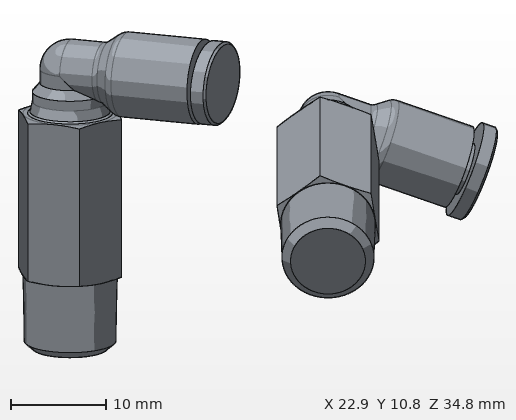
import cadquery as cq
import math

overall_height = 34.8
overall_length = 22.85

hex_across_flats = 10.0
hex_bottom = 8.0
hex_top = 25.55
hex_corner_radius = hex_across_flats / math.sqrt(3)
hex_chamfer_radius = 4.95
hex_chamfer_angle = 15.0

thread_top_radius = 4.98
thread_bottom_radius = 4.85
thread_chamfer_height = 0.8
thread_end_radius = 3.93

lip_radius = 4.45
lip_height = 0.17
flare_radius = 4.2
flare_top = 26.83
collar_radius = 3.95
collar_top = 27.87
cone_top = 28.8

elbow_radius = 3.15
socket_radius = 4.5
socket_axis_height = overall_height - socket_radius
cone_start = 3.95
cone_end = 5.8
cone_angle = math.atan2(socket_radius - elbow_radius, cone_end - cone_start)
root_blend = 0.35
shoulder_blend = 0.42
socket_end = 14.72

neck_radius = 2.82
release_start = 15.45
release_end = overall_length - hex_corner_radius
release_half_width = 5.4
release_half_height = 4.35
release_edge_chamfer = 0.25


def make_hexagon():
    height = hex_top - hex_bottom
    prism = (
        cq.Workplane("XY", origin=(0, 0, hex_bottom))
        .polygon(6, 2 * hex_corner_radius)
        .extrude(height)
    )
    chamfer_drop = (hex_corner_radius - hex_chamfer_radius) * math.tan(math.radians(hex_chamfer_angle))
    envelope = (
        cq.Workplane("XZ")
        .moveTo(0, hex_bottom)
        .lineTo(hex_chamfer_radius, hex_bottom)
        .lineTo(hex_corner_radius, hex_bottom + chamfer_drop)
        .lineTo(hex_corner_radius, hex_top - chamfer_drop)
        .lineTo(hex_chamfer_radius, hex_top)
        .lineTo(0, hex_top)
        .close()
        .revolve(360, (0, 0, 0), (0, 1, 0))
    )
    return prism.intersect(envelope)


def make_thread():
    return (
        cq.Workplane("XZ")
        .lineTo(thread_end_radius, 0)
        .lineTo(thread_bottom_radius, thread_chamfer_height)
        .lineTo(thread_top_radius, hex_bottom)
        .lineTo(0, hex_bottom)
        .close()
        .revolve(360, (0, 0, 0), (0, 1, 0))
    )


def make_stem():
    lip_top = hex_top + lip_height
    return (
        cq.Workplane("XZ")
        .moveTo(0, hex_top)
        .lineTo(lip_radius, hex_top)
        .lineTo(flare_radius, lip_top)
        .lineTo(collar_radius, flare_top)
        .lineTo(collar_radius, collar_top)
        .lineTo(elbow_radius, cone_top)
        .lineTo(elbow_radius, socket_axis_height)
        .lineTo(0, socket_axis_height)
        .close()
        .revolve(360, (0, 0, 0), (0, 1, 0))
    )


def make_socket():
    root_end = (
        cone_start + root_blend * math.cos(cone_angle),
        elbow_radius + root_blend * math.sin(cone_angle),
    )
    shoulder_start = (
        cone_end - shoulder_blend * math.cos(cone_angle),
        socket_radius - shoulder_blend * math.sin(cone_angle),
    )
    return (
        cq.Workplane("XZ", origin=(0, 0, socket_axis_height))
        .moveTo(-elbow_radius, 0)
        .radiusArc((0, elbow_radius), elbow_radius)
        .lineTo(cone_start - root_blend, elbow_radius)
        .tangentArcPoint(root_end, relative=False)
        .lineTo(*shoulder_start)
        .tangentArcPoint((cone_end + shoulder_blend, socket_radius), relative=False)
        .lineTo(socket_end, socket_radius)
        .lineTo(socket_end, neck_radius)
        .lineTo(release_start, neck_radius)
        .lineTo(release_start, 0)
        .close()
        .revolve(360, (0, 0, 0), (1, 0, 0))
    )


def make_release_collar():
    return (
        cq.Workplane("YZ", origin=(release_start, 0, socket_axis_height))
        .ellipse(release_half_width, release_half_height)
        .extrude(release_end - release_start)
        .faces(">X")
        .chamfer(release_edge_chamfer)
    )


result = (
    make_hexagon()
    .union(make_thread())
    .union(make_stem())
    .union(make_socket())
    .union(make_release_collar())
)